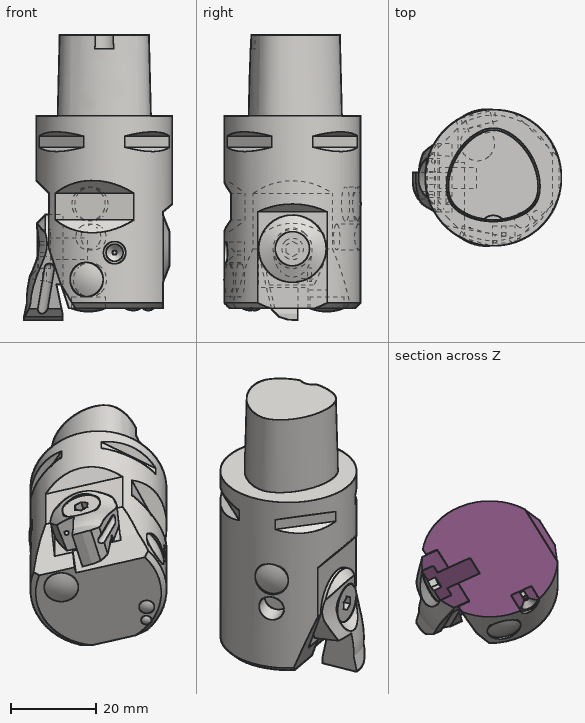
import cadquery as cq
import math


BODY_R = 16.0
BODY_BOTTOM = -45.15
BOTTOM_CHAMFER = 1.3

SHANK_LENGTH = 19.0
SHANK_R = 11.0
SHANK_TAPER = 1 / 40
LOBE_HEIGHT = 0.7
LOBE_SPACING = 120
LOBE_ANGLES = tuple(90 + LOBE_SPACING * i for i in range(3))
LOBE_HALF_ANGLE = 24
SPLINE_SPANS = 8
NOTCH_DIA = 6.1
NOTCH_BACK_Y = -8.85
NOTCH_HEIGHT = 3.3

GRIP_FLAT_DISTANCE = 14.2
GRIP_FLAT_ANGLES = (45, 135, 225, 315)
GRIP_FLAT_TOP = -4.75
GRIP_FLAT_BOTTOM = -7.3
GRIP_FLAT_SLOPE = 30

WRENCH_FLAT_DISTANCE = 13.0
WRENCH_FLAT_TOP = -18.15
WRENCH_FLAT_BOTTOM = -24.4
WRENCH_FLAT_SLOPE = 45
FRONT_FLAT_ANGLE = 260

DIAL_FLAT_X = 13.8
DIAL_FLAT_TOP = -22.5
DIAL_FLAT_SLOPE = 40

AXIS_Z = -31.15
RELIEF_ANGLE = 18.5
RELIEF_DROP = 8.45
STEEP_RELIEF_ANGLE = 31.5
STEEP_RELIEF_END_Y = 3.6

DISC_R = 8.05
SEAT_X = -9.8
DISC_FACE_X = -13.8
CUTTER_BASE_Z = -39.6
CUTTER_BASE_Y = 5.0
CUTTER_STEP_Z = -37.8
CUTTER_TIP_Z = -48.0
CUTTER_TIP_EDGE_Z = -47.45
CUTTER_TIP_X = -18.95
CUTTER_TOP_X = -15.75
CUTTER_FACE_POINTS = ((-15.9, -26.8), (-16.4, -32.8), (-17.5, -37.5), (-18.2, -44.0))
TURNING_AXIS_X = -2.7
TAIL_ARC_END = -12
TAIL_ARC_POINT = (6.7, -36.05)
NOSE_END_POINTS = ((-1.1, -47.85), (-3.15, -47.2), (-4.95, -45.3))
NOSE_EDGE_Y = 1.3
NOSE_BACK_X = -11.2
NOSE_BACK_TIP_X = -9.45
GROOVE_DIA = 2.5
GROOVE_TILT = 9.4
NOSE_SIDE_TILT = 13.2
GROOVE_LENGTH = 12.05
GROOVE_TOP = (-12.85, -7.65, -35.85)
COOLANT_HOLE_DIA = 1.0
COOLANT_HOLE_DEPTH = 4.0
COOLANT_HOLE_X = -14.1
COOLANT_HOLE_Y = 3.95

SCREW_HEAD_DIA = 9.2
SCREW_FACE_X = -15.7
SCREW_HEAD_HEIGHT = 3.0
SCREW_SHANK_DIA = 5.0
SCREW_END_X = -4.0
HEX_ACROSS_FLATS = 3.1
HEX_DEPTH = 2.0
FUNNEL_START_X = -15.55
FUNNEL_LENGTH = 5.35

DIAL_BASE_R = 7.9
DIAL_TOP_DIA = 8.05
DIAL_HEIGHT = 1.55

PLUG_DIA = 8.05
PLUG_RIM_R = 15.5
PLUG_DEPTH = 2.7
DOME_HEIGHT = 0.8
FRONT_PLUG_ANGLE = 254.5
FRONT_PLUG_Z = -38.4
REAR_PLUG_ANGLE = 104
REAR_PLUG_Z = -20.65
BOTTOM_PLUG_AT = (-3.75, 8.05)

REAR_HOLE_DIA = 6.0
REAR_HOLE_DEPTH = 5.35
REAR_HOLE_Z = -28.35
NIPPLE_DIA = 5.2
NIPPLE_AT = (2.4, -32.1)
NIPPLE_FACE_Y = -15.3
NIPPLE_LENGTH = 4.0
NIPPLE_MOUTH_DIA = 4.0
NIPPLE_FUNNEL_DEPTH = 1.5
NIPPLE_BORE_DIA = 1.0
BUTTONS = ((6.8, -9.9, 3.6), (10.3, -8.85, 2.5))
BUTTON_HEIGHT = 0.55
BUTTON_ROOT = 0.35

REACH = 40.2


def tangent(degrees):
    return math.tan(math.radians(degrees))


def radial_plane(angle, distance, z):
    """Plane facing away from the tool axis; its local Y is up."""
    a = math.radians(angle)
    outward = cq.Vector(math.cos(a), math.sin(a), 0)
    origin = outward * distance + cq.Vector(0, 0, z)
    return cq.Plane(origin, xDir=(-math.sin(a), math.cos(a), 0), normal=outward)


def x_cylinder(dia, x_start, x_end):
    """Cylinder along X at the height of the cutter disc."""
    plane = cq.Workplane("YZ", origin=(x_start, 0, AXIS_Z))
    return plane.circle(dia / 2).extrude(x_end - x_start)


def xz_prism(points, y_start, y_end):
    """Prism along Y with its outline given in X and Z."""
    plane = cq.Workplane("XZ", origin=(0, y_start, 0))
    return plane.polyline(points).close().extrude(y_start - y_end)


def lobed_point(radius, degrees, z):
    """Point of the lobed section whose outward normal has the given direction."""
    a = math.radians(degrees)
    phase = math.radians(3 * (degrees - LOBE_ANGLES[0]))
    support = radius + LOBE_HEIGHT * math.cos(phase)
    slide = -3 * LOBE_HEIGHT * math.sin(phase)
    x = support * math.cos(a) - slide * math.sin(a)
    y = support * math.sin(a) + slide * math.cos(a)
    return cq.Vector(x, y, z)


def lobed_wire(radius, z):
    edges = []
    for lobe in LOBE_ANGLES:
        joints = (lobe - LOBE_HALF_ANGLE, lobe + LOBE_HALF_ANGLE, lobe + LOBE_SPACING - LOBE_HALF_ANGLE)
        for start, end in zip(joints, joints[1:]):
            angles = [start + (end - start) * i / SPLINE_SPANS for i in range(SPLINE_SPANS + 1)]
            edges.append(cq.Edge.makeSpline([lobed_point(radius, a, z) for a in angles]))
    return cq.Wire.assembleEdges(edges)


def make_shank():
    top_radius = SHANK_R - SHANK_LENGTH * SHANK_TAPER
    wires = [lobed_wire(SHANK_R, 0), lobed_wire(top_radius, SHANK_LENGTH)]
    shank = cq.Workplane(obj=cq.Solid.makeLoft(wires, True))
    notch = (
        cq.Workplane("XY", origin=(0, NOTCH_BACK_Y - NOTCH_DIA / 2, SHANK_LENGTH))
        .circle(NOTCH_DIA / 2)
        .extrude(-NOTCH_HEIGHT)
    )
    return shank.cut(notch)


def flat_cutter(angle, distance, top, bottom, slope):
    """Cutter for a flat whose ends slope out to the body surface."""
    depth = BODY_R - distance + 0.7
    rise = depth * tangent(slope)
    outline = [(0, bottom), (0, top), (depth, top + rise), (depth, bottom - rise)]
    cutter = xz_prism([(distance + x, z) for x, z in outline], -REACH / 2, REACH / 2)
    return cutter.rotate((0, 0, 0), (0, 0, 1), angle)


def dial_flat_cutter():
    depth = BODY_R - DIAL_FLAT_X + 0.7
    outline = [
        (DIAL_FLAT_X, -REACH * 2),
        (DIAL_FLAT_X, DIAL_FLAT_TOP),
        (DIAL_FLAT_X + depth, DIAL_FLAT_TOP + depth * tangent(DIAL_FLAT_SLOPE)),
        (DIAL_FLAT_X + depth, -REACH * 2),
    ]
    return xz_prism(outline, -REACH / 2, REACH / 2)


def cutter_side_cutter():
    """Flat behind the cutter disc, with the relief facet below it."""
    depth = BODY_R - WRENCH_FLAT_DISTANCE + 0.7
    flat_x = -WRENCH_FLAT_DISTANCE
    drop = AXIS_Z - BODY_BOTTOM + 0.7
    outline = [
        (flat_x - depth, WRENCH_FLAT_TOP + depth * tangent(WRENCH_FLAT_SLOPE)),
        (flat_x, WRENCH_FLAT_TOP),
        (flat_x, AXIS_Z),
        (flat_x + drop * tangent(RELIEF_ANGLE), AXIS_Z - drop),
        (flat_x - depth, AXIS_Z - drop),
    ]
    return xz_prism(outline, -REACH / 2, REACH / 2)


def steep_relief_cutter():
    start_x = -WRENCH_FLAT_DISTANCE + RELIEF_DROP * tangent(RELIEF_ANGLE)
    start_z = AXIS_Z - RELIEF_DROP
    drop = start_z - BODY_BOTTOM + 0.7
    outline = [
        (start_x, start_z),
        (start_x + drop * tangent(STEEP_RELIEF_ANGLE), start_z - drop),
        (start_x, start_z - drop),
    ]
    return xz_prism(outline, -REACH / 2, STEEP_RELIEF_END_Y)


def cutter_pocket():
    """Round-topped pocket, open downward, that seats the cutter."""
    plane = cq.Workplane("YZ", origin=(SEAT_X, 0, 0))
    outline = (
        plane.moveTo(-DISC_R, BODY_BOTTOM - 0.7)
        .lineTo(-DISC_R, AXIS_Z)
        .threePointArc((0, AXIS_Z + DISC_R), (DISC_R, AXIS_Z))
        .lineTo(DISC_R, BODY_BOTTOM - 0.7)
        .close()
    )
    return outline.extrude(-REACH)


def domed_plug(plane, dia, depth, dome_height):
    """Round plug whose rim lies on the plane and whose dome rises above it."""
    outline = (
        cq.Workplane("XZ")
        .moveTo(0, -depth)
        .lineTo(dia / 2, -depth)
        .lineTo(dia / 2, 0)
    )
    sphere_r = (dia ** 2 / 4 + dome_height ** 2) / (2 * dome_height)
    middle_x = dia / 4
    middle_z = dome_height - sphere_r + math.sqrt(sphere_r ** 2 - middle_x ** 2)
    dome = outline.threePointArc((middle_x, middle_z), (0, dome_height)).close()
    plug = dome.revolve(360, (0, 0, 0), (0, 1, 0))
    return plug.val().moved(cq.Location(plane))


def plug_planes():
    bottom_origin = (*BOTTOM_PLUG_AT, BODY_BOTTOM)
    return (
        radial_plane(FRONT_PLUG_ANGLE, PLUG_RIM_R, FRONT_PLUG_Z),
        radial_plane(REAR_PLUG_ANGLE, PLUG_RIM_R, REAR_PLUG_Z),
        cq.Plane(bottom_origin, xDir=(1, 0, 0), normal=(0, 0, -1)),
    )


def plug_hole(plane):
    return cq.Workplane(plane).workplane(offset=-PLUG_DEPTH).circle(PLUG_DIA / 2).extrude(2 * PLUG_DEPTH)


def make_plugs():
    return [domed_plug(plane, PLUG_DIA, PLUG_DEPTH, DOME_HEIGHT) for plane in plug_planes()]


def screw_envelope():
    head = x_cylinder(SCREW_HEAD_DIA, SCREW_FACE_X, SCREW_FACE_X + SCREW_HEAD_HEIGHT)
    return head.union(x_cylinder(SCREW_SHANK_DIA, SCREW_FACE_X + SCREW_HEAD_HEIGHT, SCREW_END_X))


def make_screw():
    corner_dia = HEX_ACROSS_FLATS / math.cos(math.pi / 6)
    socket = (
        cq.Workplane("YZ", origin=(SCREW_FACE_X, 0, AXIS_Z))
        .transformed(rotate=(0, 0, 30))
        .polygon(6, corner_dia)
        .extrude(HEX_DEPTH)
    )
    return screw_envelope().cut(socket)


def cutter_outline():
    """Disc with a short tail on the +Y side and the long cutting nose on the -Y side."""
    disc_low = math.radians(TAIL_ARC_END)
    disc_y = DISC_R * math.cos(disc_low)
    disc_z = AXIS_Z + DISC_R * math.sin(disc_low)
    plane = cq.Workplane("YZ", origin=(SEAT_X, 0, 0))
    outline = (
        plane.moveTo(-disc_y, disc_z)
        .threePointArc((0, AXIS_Z + DISC_R), (disc_y, disc_z))
        .threePointArc(TAIL_ARC_POINT, (CUTTER_BASE_Y, CUTTER_BASE_Z))
        .lineTo(NOSE_EDGE_Y, CUTTER_BASE_Z)
        .lineTo(NOSE_EDGE_Y, CUTTER_TIP_Z)
    )
    for y, z in NOSE_END_POINTS:
        outline = outline.lineTo(y, z)
    return outline.close()


def cutter_turned_form():
    """Rounded outer surface of the cutter, turned about a vertical axis."""
    top = AXIS_Z + DISC_R
    profile = (
        cq.Workplane("XZ")
        .moveTo(TURNING_AXIS_X, top)
        .lineTo(CUTTER_TOP_X, top)
        .spline(CUTTER_FACE_POINTS, includeCurrent=True)
        .lineTo(CUTTER_TIP_X, CUTTER_TIP_EDGE_Z)
        .lineTo(CUTTER_TIP_X, CUTTER_TIP_Z)
        .lineTo(TURNING_AXIS_X, CUTTER_TIP_Z)
        .close()
    )
    return profile.revolve(360, (TURNING_AXIS_X, 0, 0), (TURNING_AXIS_X, 1, 0))


def disc_chamfer_cutter():
    """Removes what lies outside a 45 degree cone around the upper half of the disc."""
    length = DISC_R - 0.7
    cone = cq.Solid.makeCone(DISC_R, 0.7, length, cq.Vector(DISC_FACE_X, 0, AXIS_Z), cq.Vector(-1, 0, 0))
    box = cq.Solid.makeBox(length, 2 * REACH, REACH, cq.Vector(DISC_FACE_X - length, -REACH, AXIS_Z))
    return cq.Workplane(obj=box).cut(cq.Workplane(obj=cone))


def screw_funnel():
    """Bore over the screw head, widening outward at 45 degrees."""
    r = SCREW_HEAD_DIA / 2
    start = cq.Vector(FUNNEL_START_X, 0, AXIS_Z)
    cone = cq.Solid.makeCone(r, r + FUNNEL_LENGTH, FUNNEL_LENGTH, start, cq.Vector(-1, 0, 0))
    return cq.Workplane(obj=cone)


def coolant_groove():
    """Round-ended groove running down the side of the nose."""
    direction = cq.Vector(-tangent(GROOVE_TILT), tangent(NOSE_SIDE_TILT), -1)
    start = cq.Vector(*GROOVE_TOP)
    rod = cq.Solid.makeCylinder(GROOVE_DIA / 2, GROOVE_LENGTH, start, direction)
    ball = cq.Workplane(origin=GROOVE_TOP).sphere(GROOVE_DIA / 2)
    return ball.union(cq.Workplane(obj=rod))


def nose_back_cutter():
    """Clears the back of the nose, below the pocket."""
    outline = [
        (NOSE_BACK_X, CUTTER_BASE_Z),
        (NOSE_BACK_TIP_X, CUTTER_TIP_Z),
        (0, CUTTER_TIP_Z),
        (0, CUTTER_BASE_Z),
    ]
    return xz_prism(outline, -REACH / 2, REACH / 2)


def tail_slope_cutter():
    """Slopes the underside of the tail up towards its outer edge."""
    outline = [
        (SEAT_X, CUTTER_BASE_Z),
        (CUTTER_TIP_X, CUTTER_STEP_Z),
        (CUTTER_TIP_X, CUTTER_BASE_Z),
    ]
    return xz_prism(outline, NOSE_EDGE_Y, DISC_R)


def coolant_hole():
    plane = cq.Workplane("XY", origin=(COOLANT_HOLE_X, COOLANT_HOLE_Y, CUTTER_BASE_Z))
    return plane.circle(COOLANT_HOLE_DIA / 2).extrude(COOLANT_HOLE_DEPTH)


def make_cutter():
    cutter = cutter_outline().extrude(-REACH).intersect(cutter_turned_form())
    cuts = (
        disc_chamfer_cutter(),
        nose_back_cutter(),
        tail_slope_cutter(),
        screw_funnel(),
        coolant_groove(),
        coolant_hole(),
        x_cylinder(SCREW_HEAD_DIA, -REACH, SCREW_FACE_X),
        screw_envelope(),
    )
    for cut in cuts:
        cutter = cutter.cut(cut)
    return cutter


def make_dial():
    base = cq.Vector(DIAL_FLAT_X, 0, AXIS_Z)
    dial = cq.Solid.makeCone(DIAL_BASE_R, DIAL_TOP_DIA / 2, DIAL_HEIGHT, base, cq.Vector(1, 0, 0))
    return cq.Workplane(obj=dial)


def nipple_cylinder(dia, y_start, y_end):
    x, z = NIPPLE_AT
    plane = cq.Workplane("XZ", origin=(x, y_start, z))
    return plane.circle(dia / 2).extrude(y_start - y_end)


def make_nipple():
    x, z = NIPPLE_AT
    end_y = NIPPLE_FACE_Y + NIPPLE_LENGTH
    funnel = cq.Solid.makeCone(
        NIPPLE_MOUTH_DIA / 2,
        NIPPLE_BORE_DIA / 2,
        NIPPLE_FUNNEL_DEPTH,
        cq.Vector(x, NIPPLE_FACE_Y, z),
        cq.Vector(0, 1, 0),
    )
    nipple = nipple_cylinder(NIPPLE_DIA, NIPPLE_FACE_Y, end_y)
    nipple = nipple.cut(cq.Workplane(obj=funnel))
    return nipple.cut(nipple_cylinder(NIPPLE_BORE_DIA, NIPPLE_FACE_Y, end_y))


def make_nipple_ball():
    """Ball that closes the bore at the bottom of the funnel."""
    x, z = NIPPLE_AT
    centre_y = NIPPLE_FACE_Y + NIPPLE_FUNNEL_DEPTH + NIPPLE_BORE_DIA / 2
    return cq.Workplane(origin=(x, centre_y, z)).sphere(NIPPLE_BORE_DIA / 2)


def bottom_button(x, y, dia):
    plane = cq.Plane((x, y, BODY_BOTTOM), xDir=(1, 0, 0), normal=(0, 0, -1))
    return cq.Workplane(obj=domed_plug(plane, dia, BUTTON_ROOT, BUTTON_HEIGHT))


def rear_hole():
    plane = radial_plane(REAR_PLUG_ANGLE, BODY_R + 0.7, REAR_HOLE_Z)
    return cq.Workplane(plane).circle(REAR_HOLE_DIA / 2).extrude(-REAR_HOLE_DEPTH - 0.7)


def make_housing():
    body = cq.Workplane("XY").circle(BODY_R).extrude(BODY_BOTTOM)
    body = body.faces("<Z").chamfer(BOTTOM_CHAMFER)
    body = body.union(make_shank())
    for angle in GRIP_FLAT_ANGLES:
        body = body.cut(
            flat_cutter(angle, GRIP_FLAT_DISTANCE, GRIP_FLAT_TOP, GRIP_FLAT_BOTTOM, GRIP_FLAT_SLOPE)
        )
    body = body.cut(
        flat_cutter(
            FRONT_FLAT_ANGLE, WRENCH_FLAT_DISTANCE, WRENCH_FLAT_TOP, WRENCH_FLAT_BOTTOM, WRENCH_FLAT_SLOPE
        )
    )
    cuts = (
        dial_flat_cutter(),
        cutter_side_cutter(),
        steep_relief_cutter(),
        cutter_pocket(),
        screw_envelope(),
        rear_hole(),
        nipple_cylinder(NIPPLE_DIA, -REACH, NIPPLE_FACE_Y + NIPPLE_LENGTH),
    )
    for cut in cuts:
        body = body.cut(cut)
    for plane in plug_planes():
        body = body.cut(plug_hole(plane))
    for x, y, dia in BUTTONS:
        body = body.union(bottom_button(x, y, dia))
    return body


plugs = make_plugs()
housing = make_housing()
cutter = make_cutter()
screw = make_screw()
dial = make_dial()
nipple = make_nipple()
nipple_ball = make_nipple_ball()

result = cq.Compound.makeCompound(
    [
        housing.val(),
        cutter.val(),
        screw.val(),
        dial.val(),
        nipple.val(),
        nipple_ball.val(),
        *plugs,
    ]
)